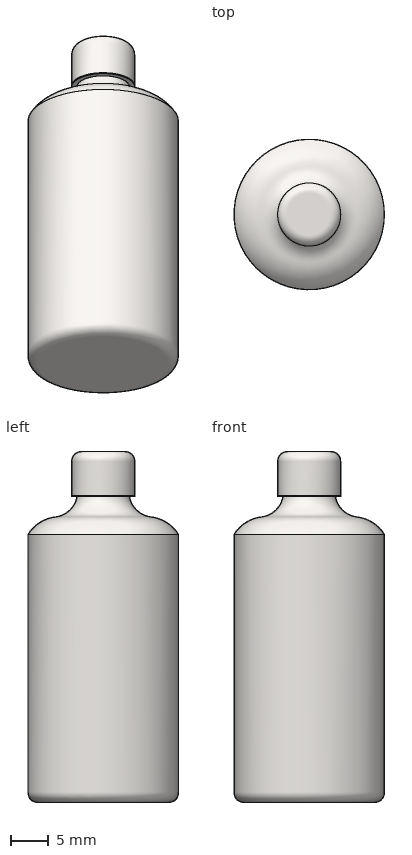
import cadquery as cq

total_height = 46.65
body_diameter = 20.0
body_radius = body_diameter / 2
base_fillet = 1.3

body_top = 35.65
blend_radius = 6.3
blend_height = 37.95
shoulder_arc_radius = 5.05
neck_arc_radius = 3.25
neck_diameter = 7.0

cap_diameter = 8.4
cap_height = 5.85
seal_thickness = 0.15
cap_fillet = 1.3
cap_bottom = total_height - cap_height
neck_top = cap_bottom - seal_thickness


def make_bottle():
    """Revolve the bottle's half section about Z and round its base."""
    half_section = (
        cq.Workplane("XZ")
        .lineTo(body_radius, 0)
        .lineTo(body_radius, body_top)
        .radiusArc((blend_radius, blend_height), -shoulder_arc_radius)
        .radiusArc((neck_diameter / 2, neck_top), neck_arc_radius)
        .lineTo(0, neck_top)
        .close()
    )
    return half_section.revolve(360, (0, 0, 0), (0, 1, 0)).faces("<Z").edges().fillet(base_fillet)


def make_seal():
    """Disc of the cap's diameter, resting on the neck."""
    return cq.Workplane("XY", origin=(0, 0, neck_top)).circle(cap_diameter / 2).extrude(seal_thickness)


def make_cap():
    """Cylindrical cap with a rounded top rim, seated on the seal."""
    return (
        cq.Workplane("XY", origin=(0, 0, cap_bottom))
        .circle(cap_diameter / 2)
        .extrude(cap_height)
        .faces(">Z")
        .edges()
        .fillet(cap_fillet)
    )


bottle = make_bottle()
seal = make_seal()
cap = make_cap()
result = cq.Compound.makeCompound([bottle.val(), seal.val(), cap.val()])